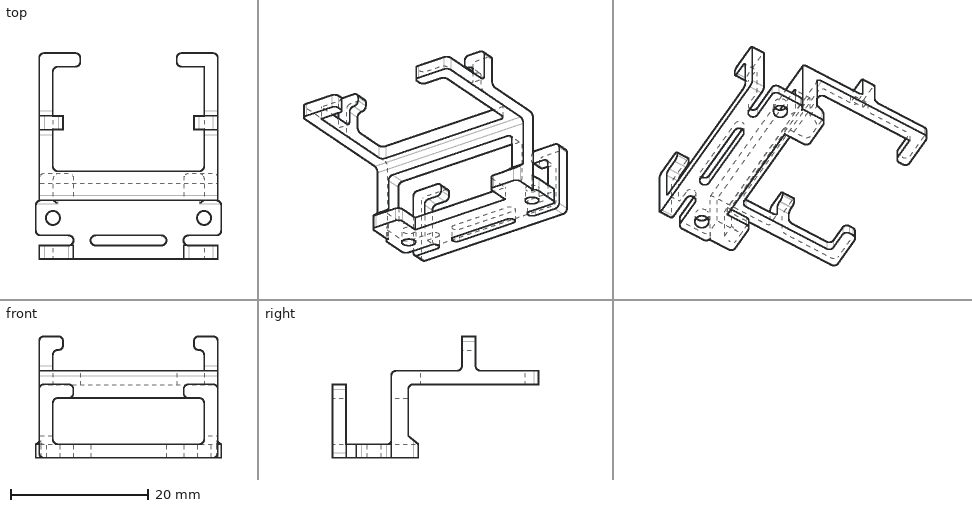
import cadquery as cq
import math

BODY_WIDTH = 26.0
EAR_SPAN = 27.0
LENGTH = 30.0
HEIGHT = 17.7
BAR = 2.0
ROUND = 0.72

GAP = 1.45
NECK_WIDTH = 16.02
SLOT_LENGTH = 11.0
HOLE_DIAMETER = 2.0
HOLE_SPACING = 22.0
HOLE_Y = 6.0

WALL_Y = 8.55
WALL_THICKNESS = 2.5
FOOT_DEPTH = 3.95
FOOT_SLOPE_RISE = 1.2
FLARE = 0.5

FRONT_FRAME_HEIGHT = 10.7
FRONT_HOOK = 4.98
PLATE_TOP = 12.7
UPPER_OPENING_Y = 12.8
UPPER_HOOK = 6.0
POST_Y = 18.85
POST_HOOK = 3.5

HALF_BODY = BODY_WIDTH / 2
ARM_INNER = HALF_BODY - BAR
INNER_WIDTH = 2 * ARM_INNER
EAR_FRONT = BAR + GAP
WALL_BACK = WALL_Y + WALL_THICKNESS
FOOT_BACK = WALL_Y + FOOT_DEPTH
PLATE_BOTTOM = PLATE_TOP - BAR
WINDOW_TOP = FRONT_FRAME_HEIGHT - BAR
ARC_MIDDLE = 1 - math.sqrt(0.5)


def block(width, y_start, y_end, z_start, z_end):
    """Box centred on X = 0."""
    size = (width, y_end - y_start, z_end - z_start)
    return cq.Workplane().box(*size, centered=(True, False, False)).translate((0, y_start, z_start))


def clip_frame(height, base, hook):
    """C-shaped frame standing up in Y, one bar thick in Z, with two hooks at its open end."""
    right_half = [
        (HALF_BODY, 0),
        (HALF_BODY, height),
        (HALF_BODY - hook, height),
        (HALF_BODY - hook, height - BAR),
        (ARM_INNER, height - BAR),
        (ARM_INNER, base),
    ]
    left_half = [(-x, y) for x, y in reversed(right_half)]
    outline = cq.Workplane().polyline(right_half + left_half).close()
    return outline.extrude(BAR).edges("|Z").fillet(ROUND)


def front_frame():
    """Frame standing upright on the front edge of the base plate."""
    flat = clip_frame(FRONT_FRAME_HEIGHT, BAR, FRONT_HOOK)
    return flat.rotate((0, 0, 0), (1, 0, 0), 90).translate((0, BAR, 0))


def upper_frame():
    """Frame lying flat behind the wall; its right arm meets the hook in a square inner corner."""
    flat = clip_frame(LENGTH - WALL_BACK, UPPER_OPENING_Y - WALL_BACK, UPPER_HOOK)
    hook_front = LENGTH - BAR
    frame = flat.translate((0, WALL_BACK, PLATE_BOTTOM))
    corner = cq.Workplane().box(ROUND, ROUND, BAR, centered=False)
    return frame.cut(corner.translate((ARM_INNER - ROUND, hook_front - ROUND, PLATE_BOTTOM)))


def ears():
    """Part of the plate behind the gaps, with all four corners rounded."""
    return block(EAR_SPAN, EAR_FRONT, WALL_Y, 0, BAR).edges("|Z").fillet(ROUND)


def gap_cutter(x_start, x_end):
    """Round-ended slot cutter lying just behind the front frame."""
    cutter = cq.Workplane().slot2D(x_end - x_start, GAP).extrude(BAR)
    return cutter.translate(((x_start + x_end) / 2, BAR + GAP / 2, 0))


def base_plate():
    """Plate with two rounded ears, a centre slot, two side gaps and two holes."""
    neck = block(NECK_WIDTH + GAP, BAR, WALL_Y, 0, BAR)
    plate = ears().union(neck)
    for x_start, x_end in [
        (-EAR_SPAN / 2, -NECK_WIDTH / 2),
        (-SLOT_LENGTH / 2, SLOT_LENGTH / 2),
        (NECK_WIDTH / 2, EAR_SPAN / 2),
    ]:
        plate = plate.cut(gap_cutter(x_start, x_end))
    holes = (
        cq.Workplane()
        .rarray(HOLE_SPACING, 0.3, 2, 1)
        .circle(HOLE_DIAMETER / 2)
        .extrude(BAR)
        .translate((0, HOLE_Y, 0))
    )
    return plate.cut(holes)


def window():
    """Opening between the legs, rounded where it meets the legs and the plate."""
    return block(INNER_WIDTH, EAR_FRONT, FOOT_BACK, BAR, WINDOW_TOP).edges("|Y").fillet(ROUND)


def wall():
    """Wall with the front strip of the upper plate, on two legs whose feet slope out to the back."""
    side = [
        (WALL_Y, 0),
        (FOOT_BACK, 0),
        (FOOT_BACK, BAR),
        (WALL_BACK, BAR + FOOT_SLOPE_RISE),
        (WALL_BACK, PLATE_BOTTOM),
        (UPPER_OPENING_Y, PLATE_BOTTOM),
        (UPPER_OPENING_Y, PLATE_TOP),
        (WALL_Y, PLATE_TOP),
    ]
    body = cq.Workplane("YZ").polyline(side).close().extrude(HALF_BODY, both=True)
    for bend_point in [(0, WALL_Y, PLATE_TOP), (0, WALL_BACK, PLATE_BOTTOM)]:
        body = body.edges(cq.selectors.NearestToPointSelector(bend_point)).fillet(ROUND)
    foot_gap = block(NECK_WIDTH, WALL_Y, FOOT_BACK, 0, BAR)
    body = body.cut(foot_gap).cut(window())
    foot_corners = cq.selectors.BoxSelector(
        (-HALF_BODY - ROUND, FOOT_BACK - ROUND, 0),
        (HALF_BODY + ROUND, FOOT_BACK + ROUND, BAR),
    )
    return body.edges("|Z").edges(foot_corners).fillet(ROUND)


def leg_flare():
    """Concave fillet along the leg fronts, trimmed to the window and to the ear corners."""
    middle = FLARE * ARC_MIDDLE
    strip = (
        cq.Workplane("YZ")
        .moveTo(WALL_Y, BAR)
        .lineTo(WALL_Y - FLARE, BAR)
        .threePointArc((WALL_Y - middle, BAR + middle), (WALL_Y, BAR + FLARE))
        .close()
        .extrude(EAR_SPAN / 2, both=True)
    )
    return strip.intersect(ears().translate((0, 0, BAR))).cut(window())


def post(side):
    """Hooked post on one arm of the upper frame; side is -1 or 1."""
    outer = side * HALF_BODY
    stem_inner = side * ARM_INNER
    tip = side * (HALF_BODY - POST_HOOK)
    outline = [
        (outer, PLATE_TOP),
        (outer, HEIGHT),
        (tip, HEIGHT),
        (tip, HEIGHT - BAR),
        (stem_inner, HEIGHT - BAR),
        (stem_inner, PLATE_TOP),
    ]
    upright = cq.Workplane("XZ").polyline(outline).close().extrude(-BAR)
    upright = upright.translate((0, POST_Y, 0))
    upright = upright.edges("|Y").edges("not <Z").fillet(ROUND)
    return upright.union(post_flare(side))


def post_flare(side):
    """Concave fillets at the front and back of a post foot."""
    middle = ROUND * ARC_MIDDLE
    front = POST_Y
    back = POST_Y + BAR
    return (
        cq.Workplane("YZ")
        .moveTo(front - ROUND, PLATE_TOP)
        .threePointArc((front - middle, PLATE_TOP + middle), (front, PLATE_TOP + ROUND))
        .lineTo(back, PLATE_TOP + ROUND)
        .threePointArc((back + middle, PLATE_TOP + middle), (back + ROUND, PLATE_TOP))
        .close()
        .extrude(side * BAR)
        .translate((side * ARM_INNER, 0, 0))
    )


result = base_plate().union(front_frame()).union(wall()).union(leg_flare()).union(upper_frame())
for side in (-1, 1):
    result = result.union(post(side))